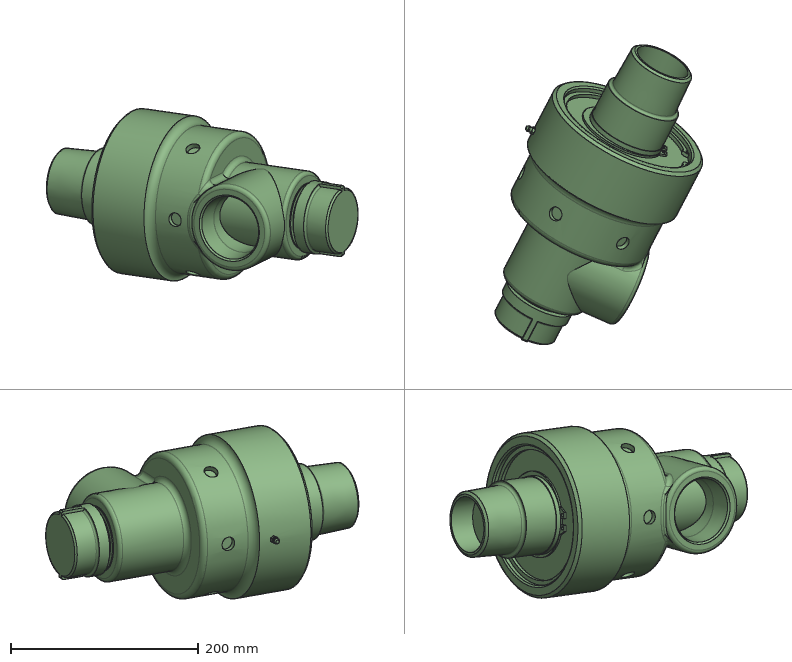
import cadquery as cq
import math


tip_face_radius = 65.48 / 2
tip_chamfer_length = 2.5
taper_start_radius = 35.7
taper_end_radius = 37.3
taper_end_x = 44.6
shoulder_x = 47.7
shoulder_inner_radius = 80.6 / 2
shoulder_root_round = 3.2
shaft_radius = 83.3 / 2
seat_x = 86.6
seat_radius = 84.96 / 2
shaft_bore_radius = 60.3 / 2
shaft_bore_depth = 28.0

drum_x = 83.8
drum_radius = 178.18 / 2
drum_chamfer = 3.3
drum_end_x = 149.0
neck_radius = 159.9 / 2
neck_end_x = 213.1
neck_round = 6.2

recess_radius = 151.0 / 2
recess_chamfer = 1.8
recess_floor_x = 94.0

bore_ring_thickness = 4.0
bore_ring_inner_radius = 70.7
bore_ring_lug_y = -72.7
bore_ring_lug_z = 17.5
bore_ring_lug_radius = 5.7
bore_ring_hole_diameter = 3.96
shaft_ring_thickness = 2.2
shaft_ring_radius = 46.6
shaft_ring_offset = 3.7
shaft_ring_hole_diameter = 3.17
shaft_ring_hole_y = -45.4
shaft_ring_hole_z = 7.2
ear_tip_y = -49.0
ear_root_y = -40.7
ear_inner_z = 3.6
ear_tip_z = 10.3
ear_root_z = 15.5

body_radius = 48.0
root_round = 6.0
body_end_x = 297.0
body_end_round = 4.4
collar_radius = 35.5
collar_end_x = 298.3
stem_radius = 30.9

cap_x = 303.4
cap_flange_radius = 77.85 / 2
cap_flange_end_x = 315.8
cap_radius = 35.7
cap_root_round = 2.1
cap_chamfer = 2.0
overall_length = 342.82
key_width = 6.1

port_x = 249.0
port_radius = 47.5
port_face_y = -82.2
port_round = 4.6
port_lip_height = 0.6
thread_depth = 25.6
thread_mouth_radius = 36.5
thread_start_radius = 34.6
thread_mouth_chamfer = 2.0
port_bore_radius = 65.48 / 2
inner_tube_radius = 43.0

spanner_hole_x = 181.8
spanner_hole_diameter = 15.0
spanner_hole_depth = 6.0
spanner_hole_count = 6

fitting_x = 132.0
overall_width = 187.56
fitting_tip_y = overall_width - drum_radius
fitting_embedded_length = 3.0
fitting_hex_across_flats = 7.0
fitting_hex_height = 3.0
fitting_neck_radius = 2.8
fitting_head_radius = 6.33 / 2
fitting_head_length = 3.5
fitting_head_straight_length = 1.5
fitting_tip_radius = 3.96 / 2


def cylinder_along_x(x_start, x_end, radius, y=0.0, z=0.0):
    disc = cq.Workplane("YZ", origin=(x_start, 0, 0)).center(y, z).circle(radius)
    return disc.extrude(x_end - x_start)


def make_housing():
    """Drum, neck and rear body as one turned shape."""
    drum_root_round = drum_radius - neck_radius
    profile = (
        cq.Workplane("XY")
        .moveTo(drum_x, 0)
        .lineTo(drum_x, drum_radius - drum_chamfer)
        .lineTo(drum_x + drum_chamfer, drum_radius)
        .lineTo(drum_end_x, drum_radius)
        .radiusArc((drum_end_x + drum_root_round, neck_radius), -drum_root_round)
        .lineTo(neck_end_x - neck_round, neck_radius)
        .radiusArc((neck_end_x, neck_radius - neck_round), neck_round)
        .lineTo(neck_end_x, body_radius)
        .lineTo(body_end_x - body_end_round, body_radius)
        .radiusArc((body_end_x, body_radius - body_end_round), body_end_round)
        .lineTo(body_end_x, 0)
        .close()
    )
    return profile.revolve(360, (0, 0, 0), (1, 0, 0))


def make_port():
    return cq.Workplane("XZ").center(port_x, 0).circle(port_radius).extrude(-port_face_y)


def blend_roots(housing):
    """Round the inner corners where the neck end meets the rear body and the port."""
    tolerance = 0.01
    roots = [
        edge
        for edge in housing.edges().vals()
        if abs(edge.BoundingBox().xmin - neck_end_x) < tolerance
        and abs(edge.BoundingBox().xmax - neck_end_x) < tolerance
        and edge.BoundingBox().zmax < body_radius + tolerance
    ]
    return cq.Workplane(housing.val().fillet(root_round, roots))


def make_port_rim_cutter():
    """Material outside the rounded port rim, apart from a low lip left on the neck."""
    rim_radius = port_radius - port_round
    rim_y = port_face_y + port_round
    outer_radius = port_radius + 2 * root_round
    ring = (
        cq.Workplane("XY")
        .moveTo(port_x + rim_radius, port_face_y)
        .radiusArc((port_x + port_radius, rim_y), -port_round)
        .lineTo(port_x + outer_radius, rim_y)
        .lineTo(port_x + outer_radius, port_face_y)
        .close()
        .revolve(360, (port_x, 0, 0), (port_x, 1, 0))
    )
    lip = cylinder_along_x(drum_end_x, neck_end_x - neck_round, neck_radius + port_lip_height)
    return ring.cut(lip)


def make_port_bore():
    """Tapered thread and plain bore, ending on the internal tube that runs along X."""
    thread_end_y = port_face_y + thread_depth
    chamfer_end_y = port_face_y + thread_mouth_chamfer
    bore = (
        cq.Workplane("XY")
        .moveTo(port_x, port_face_y)
        .lineTo(port_x + thread_mouth_radius, port_face_y)
        .lineTo(port_x + thread_start_radius, chamfer_end_y)
        .lineTo(port_x + port_bore_radius, thread_end_y)
        .lineTo(port_x + port_bore_radius, 0)
        .lineTo(port_x, 0)
        .close()
        .revolve(360, (port_x, 0, 0), (port_x, 1, 0))
    )
    return bore.cut(cylinder_along_x(neck_end_x - port_radius, body_end_x, inner_tube_radius))


def make_recess():
    profile = (
        cq.Workplane("XY")
        .moveTo(drum_x, 0)
        .lineTo(drum_x, recess_radius + recess_chamfer)
        .lineTo(drum_x + recess_chamfer, recess_radius)
        .lineTo(recess_floor_x, recess_radius)
        .lineTo(recess_floor_x, 0)
        .close()
    )
    return profile.revolve(360, (0, 0, 0), (1, 0, 0))


def make_spanner_holes():
    holes = cq.Workplane("XY")
    for index in range(spanner_hole_count):
        hole = (
            cq.Workplane("XZ", origin=(spanner_hole_x, spanner_hole_depth - neck_radius, 0))
            .circle(spanner_hole_diameter / 2)
            .extrude(2 * spanner_hole_depth)
        )
        angle = index * 360 / spanner_hole_count
        holes = holes.add(hole.rotate((0, 0, 0), (1, 0, 0), angle))
    return holes.combine()


def make_shaft():
    profile = (
        cq.Workplane("XY")
        .moveTo(0, shaft_bore_radius)
        .lineTo(0, tip_face_radius)
        .lineTo(tip_chamfer_length, taper_start_radius)
        .lineTo(taper_end_x, taper_end_radius)
        .radiusArc((shoulder_x, shoulder_inner_radius), -shoulder_root_round)
        .lineTo(shoulder_x, shaft_radius)
        .lineTo(seat_x, shaft_radius)
        .lineTo(seat_x, seat_radius)
        .lineTo(recess_floor_x, seat_radius)
        .lineTo(recess_floor_x, 0)
        .lineTo(shaft_bore_depth, 0)
        .lineTo(shaft_bore_depth, shaft_bore_radius)
        .close()
    )
    return profile.revolve(360, (0, 0, 0), (1, 0, 0))


def make_bore_ring():
    start_x = recess_floor_x - bore_ring_thickness
    disc = cylinder_along_x(start_x, recess_floor_x, recess_radius)
    ring = disc.cut(cylinder_along_x(start_x, recess_floor_x, bore_ring_inner_radius))
    gap = cq.Workplane("XY").box(2 * recess_floor_x, recess_radius, 2 * bore_ring_lug_z)
    ring = ring.cut(gap.translate((recess_floor_x, -recess_radius, 0)))
    for side in (-1, 1):
        lug_z = side * bore_ring_lug_z
        lug = cylinder_along_x(start_x, recess_floor_x, bore_ring_lug_radius, bore_ring_lug_y, lug_z)
        hole = cylinder_along_x(
            start_x, recess_floor_x, bore_ring_hole_diameter / 2, bore_ring_lug_y, lug_z
        )
        ring = ring.union(lug.intersect(disc)).cut(hole)
    return ring


def make_shaft_ring():
    start_x = recess_floor_x - shaft_ring_thickness
    ring = cylinder_along_x(start_x, recess_floor_x, shaft_ring_radius, shaft_ring_offset)
    for side in (-1, 1):
        ear = (
            cq.Workplane("YZ", origin=(start_x, 0, 0))
            .moveTo(ear_root_y, side * ear_inner_z)
            .lineTo(ear_tip_y, side * ear_inner_z)
            .lineTo(ear_tip_y, side * ear_tip_z)
            .lineTo(ear_root_y, side * ear_root_z)
            .close()
            .extrude(shaft_ring_thickness)
        )
        hole = cylinder_along_x(
            start_x,
            recess_floor_x,
            shaft_ring_hole_diameter / 2,
            shaft_ring_hole_y,
            side * shaft_ring_hole_z,
        )
        ring = ring.union(ear).cut(hole)
    return ring


def make_end_cap():
    """Stem, collar and cap, with a key at the top and the bottom of the cap."""
    stem = cylinder_along_x(body_end_x, cap_x, stem_radius)
    collar = cylinder_along_x(body_end_x, collar_end_x, collar_radius)
    flanged = cylinder_along_x(cap_x, overall_length, cap_flange_radius)
    flanged = flanged.faces(">X").edges().chamfer(cap_chamfer)
    relief_profile = (
        cq.Workplane("XY")
        .moveTo(cap_flange_end_x, cap_flange_radius)
        .lineTo(cap_flange_end_x, cap_radius + cap_root_round)
        .radiusArc((cap_flange_end_x + cap_root_round, cap_radius), -cap_root_round)
        .lineTo(overall_length - cap_chamfer, cap_radius)
        .lineTo(overall_length, cap_radius - cap_chamfer)
        .lineTo(overall_length, cap_flange_radius)
        .close()
    )
    relief = relief_profile.revolve(360, (0, 0, 0), (1, 0, 0))
    keys = cq.Workplane("XY").box(overall_length, key_width, 2 * cap_flange_radius)
    relief = relief.cut(keys.translate((overall_length / 2 + cap_x, 0, 0)))
    return stem.union(collar).union(flanged.cut(relief))


def make_fitting():
    base_y = drum_radius - fitting_embedded_length
    hex_end_y = drum_radius + fitting_hex_height
    head_y = fitting_tip_y - fitting_head_length
    hex_across_corners = fitting_hex_across_flats / math.cos(math.pi / 6)
    hexagon = (
        cq.Workplane("XZ", origin=(fitting_x, base_y, 0))
        .transformed(rotate=(0, 0, 90))
        .polygon(6, hex_across_corners)
        .extrude(base_y - hex_end_y)
    )
    profile = (
        cq.Workplane("XY")
        .moveTo(fitting_x, base_y)
        .lineTo(fitting_x + fitting_neck_radius, base_y)
        .lineTo(fitting_x + fitting_neck_radius, head_y)
        .lineTo(fitting_x + fitting_head_radius, head_y)
        .lineTo(fitting_x + fitting_head_radius, head_y + fitting_head_straight_length)
        .lineTo(fitting_x + fitting_tip_radius, fitting_tip_y)
        .lineTo(fitting_x, fitting_tip_y)
        .close()
    )
    return hexagon.union(profile.revolve(360, (fitting_x, 0, 0), (fitting_x, 1, 0)))


housing = blend_roots(make_housing().union(make_port()))
housing = housing.cut(make_port_rim_cutter()).cut(make_port_bore()).cut(make_recess()).cut(make_spanner_holes())
result = housing.union(make_shaft()).union(make_bore_ring()).union(make_shaft_ring())
result = result.union(make_end_cap()).union(make_fitting())